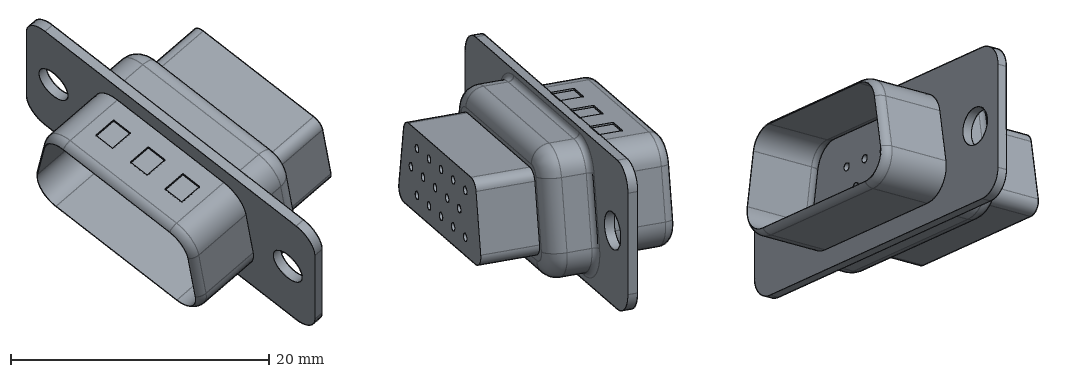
import cadquery as cq
import math

flange_length = 30.8
flange_height = 12.55
flange_thickness = 0.83
flange_corner_radius = 2.0
mount_hole_spacing = 25.02
mount_hole_diameter = 3.08

side_angle = 10.0
shell_width = 17.72
shell_height = 9.18
shell_corner_radius = 2.4
housing_margin = 0.77
housing_width = shell_width + 2 * housing_margin
housing_height = shell_height + 2 * housing_margin
block_width = 15.53
block_height = 7.0
block_corner_radius = 1.0

shell_length = 6.1
housing_length = 4.07
block_length = 5.0
housing_back = flange_thickness + housing_length
block_back = housing_back + block_length

wall = 0.4
lip_radius = 1.0
cavity_flare_radius = 1.23
housing_edge_radius = 1.5
housing_root_radius = 0.45

contact_diameter = 0.65
contact_pitch = 2.28
contacts_per_row = 5
row_pitch = 1.97
outer_row_centre = -0.25

window_width = 1.8
window_length = 2.0
window_depth = 0.15
window_pitch = 3.7
window_count = 3
window_setback = 1.57


def d_bar(width, height, corner_radius, front, back):
    """D-shaped bar between two Y planes, wide side down, with rounded long edges."""
    slant = math.radians(side_angle)
    bottom_corner_angle = math.pi / 2 - slant
    half_bottom = width / 2 - corner_radius + corner_radius / math.tan(bottom_corner_angle / 2)
    half_top = half_bottom - height * math.tan(slant)
    outline = [
        (-half_bottom, -height / 2),
        (half_bottom, -height / 2),
        (half_top, height / 2),
        (-half_top, height / 2),
    ]
    section = cq.Workplane("XZ", origin=(0, front, 0)).polyline(outline).close()
    return section.extrude(front - back).edges("|Y").fillet(corner_radius)


def holes_along_y(centres, diameter):
    """Round cutters running along Y through the whole part."""
    cutters = cq.Workplane("XZ", origin=(0, -shell_length, 0)).pushPoints(centres)
    return cutters.circle(diameter / 2).extrude(-(shell_length + block_back))


def centred_positions(count, pitch):
    return [(i - (count - 1) / 2) * pitch for i in range(count)]


def edges_at(solid, y, width, height):
    """Edges of a solid that lie in one Y plane, within a centred width and height."""
    tolerance = 0.003
    low = (-width / 2 - tolerance, y - tolerance, -height / 2 - tolerance)
    high = (width / 2 + tolerance, y + tolerance, height / 2 + tolerance)
    return solid.edges(cq.selectors.BoxSelector(low, high, boundingbox=True))


def make_flange():
    plate = cq.Workplane("XY").box(
        flange_length, flange_thickness, flange_height, centered=(True, False, True)
    )
    plate = plate.edges("|Y").fillet(flange_corner_radius)
    mount_holes = [(x, 0) for x in centred_positions(2, mount_hole_spacing)]
    return plate.cut(holes_along_y(mount_holes, mount_hole_diameter))


def add_housing(flange):
    housing = d_bar(housing_width, housing_height, shell_corner_radius, flange_thickness, housing_back)
    housing = housing.faces(">Y").edges().fillet(housing_edge_radius)
    body = flange.union(housing)
    root = edges_at(body, flange_thickness, housing_width, housing_height)
    return root.fillet(housing_root_radius)


def make_shell(front):
    shell = d_bar(shell_width, shell_height, shell_corner_radius, front, 0)
    return shell.faces("<Y").edges().fillet(lip_radius)


def make_cavity(front):
    """Shell interior, flaring outward to its floor at the back face of the flange."""
    width = shell_width - 2 * wall
    height = shell_height - 2 * wall
    cavity = d_bar(width, height, shell_corner_radius - wall, front, flange_thickness)
    backing = cq.Workplane("XY").box(
        flange_length, flange_thickness, flange_height, centered=(True, False, True)
    )
    backing = backing.translate((0, flange_thickness, 0))
    root = edges_at(cavity.union(backing), flange_thickness, width, height)
    return root.fillet(cavity_flare_radius).cut(backing)


def make_windows():
    centre_y = -window_setback - window_length / 2
    pockets = cq.Workplane("XY", origin=(0, 0, shell_height / 2))
    pockets = pockets.pushPoints([(x, centre_y) for x in centred_positions(window_count, window_pitch)])
    return pockets.rect(window_width, window_length).extrude(-window_depth)


def make_contact_holes():
    centres = []
    for row in (-1, 0, 1):
        row_centre = outer_row_centre
        if row == 0:
            row_centre += contact_pitch / 2
        for x in centred_positions(contacts_per_row, contact_pitch):
            centres.append((row_centre + x, row * row_pitch))
    return holes_along_y(centres, contact_diameter)


lip_reach = math.sqrt(lip_radius**2 - (lip_radius - wall) ** 2)
shell_nose = -shell_length - (lip_radius - lip_reach)

block = d_bar(block_width, block_height, block_corner_radius, housing_back, block_back)

body = add_housing(make_flange())
body = body.union(block).union(make_shell(shell_nose))
body = body.cut(make_cavity(shell_nose))
body = body.cut(make_contact_holes())
result = body.cut(make_windows())